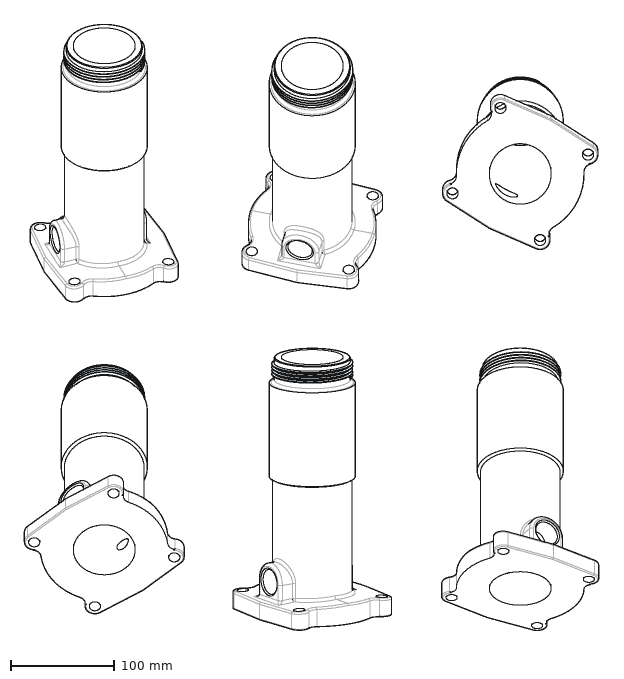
import cadquery as cq
import math

TOTAL_HEIGHT = 254.0
BORE_RADIUS = 30.0

FLANGE_RADIUS = 61.91
FLANGE_APEX_Y = 62.055
RIDGE_HEIGHT = 20.6
EAVES_HEIGHT = 17.65
BOLT_OFFSET = 48.4
BOLT_HOLE_RADIUS = 5.4
LOBE_RADIUS = 9.7
WAIST_RADIUS = 8.0
FLANGE_TOP_ROUND = 1.9
FLANGE_BOTTOM_ROUND = 1.2
SQUARE_RIM_Y = 41.2

TUBE_RADIUS = 38.75
SLEEVE_RADIUS = 41.8
SLEEVE_BOTTOM = 135.0
SLEEVE_TOP = 228.6
SLEEVE_CHAMFER_HEIGHT = 1.5
BLEND_RADIUS = 3.0

NECK_RADIUS = 36.9
NECK_CHAMFER = 0.8
THREAD_RADIUS = 39.3
THREAD_PITCH = 3.25
THREAD_TURNS = 4.125
THREAD_START = 235.7
THREAD_START_ANGLE = 45.0
TOOTH_BASE = 2.6
TOOTH_CREST = 0.7
TOOTH_OVERLAP = 0.5

PORT_HEIGHT = 36.5
PORT_FACE_Y = -50.8
PORT_BOSS_RADIUS = 18.5
PORT_EDGE_ROUND = 3.0
PORT_RADIUS = 12.2
PORT_CHAMFER = 1.5

OUTLET_HEIGHT = 41.3
OUTLET_START_Y = 28.0
OUTLET_INNER_RADIUS = 7.2
OUTLET_OUTER_RADIUS = 5.5
PAD_FACE_Y = 40.0
PAD_RADIUS = 10.3

TOLERANCE = 0.1


def point_on_circle(center, radius, angle):
    return (center[0] + radius * math.cos(angle), center[1] + radius * math.sin(angle))


def flange_quarter():
    """Plan of the +X +Y quarter of the flange, extruded to the ridge height."""
    origin = (0, 0)
    lobe = (BOLT_OFFSET, BOLT_OFFSET)

    lobe_distance = math.hypot(*lobe)
    waist_distance = FLANGE_RADIUS + WAIST_RADIUS
    waist_to_lobe = LOBE_RADIUS + WAIST_RADIUS
    cos_gap = (lobe_distance**2 + waist_distance**2 - waist_to_lobe**2) / (2 * lobe_distance * waist_distance)
    waist_angle = math.pi / 4 - math.acos(cos_gap)
    waist = point_on_circle(origin, waist_distance, waist_angle)
    lobe_start_angle = math.atan2(waist[1] - lobe[1], waist[0] - lobe[0])

    apex_rise = FLANGE_APEX_Y - BOLT_OFFSET
    apex_direction = math.atan2(apex_rise, -BOLT_OFFSET)
    lobe_end_angle = apex_direction - math.acos(LOBE_RADIUS / math.hypot(BOLT_OFFSET, apex_rise))

    side_middle = point_on_circle(origin, FLANGE_RADIUS, waist_angle / 2)
    side_end = point_on_circle(origin, FLANGE_RADIUS, waist_angle)
    waist_middle = point_on_circle(waist, WAIST_RADIUS, (waist_angle + lobe_start_angle) / 2 + math.pi)
    lobe_start = point_on_circle(lobe, LOBE_RADIUS, lobe_start_angle)
    lobe_middle = point_on_circle(lobe, LOBE_RADIUS, (lobe_start_angle + lobe_end_angle) / 2)
    lobe_end = point_on_circle(lobe, LOBE_RADIUS, lobe_end_angle)
    return (
        cq.Workplane("XY")
        .lineTo(FLANGE_RADIUS, 0)
        .threePointArc(side_middle, side_end)
        .threePointArc(waist_middle, lobe_start)
        .threePointArc(lobe_middle, lobe_end)
        .lineTo(0, FLANGE_APEX_Y)
        .close()
        .extrude(RIDGE_HEIGHT)
    )


def make_flange():
    """Flange plate under its shallow roof, still with sharp rims."""
    quarter = flange_quarter()
    half = quarter.union(quarter.mirror("YZ"))
    plate = half.union(half.mirror("XZ")).clean()
    roof = (
        cq.Workplane("YZ")
        .polyline([
            (-FLANGE_APEX_Y, 0),
            (FLANGE_APEX_Y, 0),
            (FLANGE_APEX_Y, EAVES_HEIGHT),
            (0, RIDGE_HEIGHT),
            (-FLANGE_APEX_Y, EAVES_HEIGHT),
        ])
        .close()
        .extrude(FLANGE_RADIUS, both=True)
    )
    return plate.intersect(roof)


def round_flange(flange):
    """Round the whole top rim, and the bottom rim of the pointed sides and lobes."""
    def on_top_rim(edge):
        center = edge.Center()
        return center.z > EAVES_HEIGHT - TOLERANCE and math.hypot(center.x, center.y) > TUBE_RADIUS

    top_rim = [edge for edge in flange.edges("not |Z").vals() if on_top_rim(edge)]
    flange = flange.newObject(top_rim).fillet(FLANGE_TOP_ROUND)
    middle_block = cq.Workplane("XY").box(
        2 * FLANGE_RADIUS, 2 * SQUARE_RIM_Y, RIDGE_HEIGHT, centered=(True, True, False)
    )
    square_middle = flange.intersect(middle_block)
    return flange.edges("<Z").fillet(FLANGE_BOTTOM_ROUND).union(square_middle)


def arched_block(face_y, depth, radius, height):
    """Arched block rising out of the flange, from y = face_y back along -Y by depth."""
    return (
        cq.Workplane("XZ", origin=(0, face_y, 0))
        .moveTo(-radius, RIDGE_HEIGHT / 2)
        .lineTo(radius, RIDGE_HEIGHT / 2)
        .lineTo(radius, height)
        .threePointArc((0, height + radius), (-radius, height))
        .close()
        .extrude(depth)
    )


def inside_corner_edges(body):
    """Foot of the tube, port boss and pad on the flange, and the boss outline on the tube."""
    reach = math.hypot(PORT_FACE_Y, PORT_BOSS_RADIUS)
    boss_top = PORT_HEIGHT + PORT_BOSS_RADIUS

    def is_inside_corner(edge):
        center = edge.Center()
        if edge.geomType() == "CIRCLE" or math.hypot(center.x, center.y) > reach:
            return False
        box = edge.BoundingBox()
        on_flange = (
            box.zmin > EAVES_HEIGHT
            and box.zmax < RIDGE_HEIGHT + TOLERANCE
            and abs(center.x) < SLEEVE_RADIUS
        )
        on_tube = -TUBE_RADIUS - TOLERANCE < box.ymin and box.ymax < 0 and box.zmax < boss_top + TOLERANCE
        return on_flange or on_tube

    return [edge for edge in body.edges().vals() if is_inside_corner(edge)]


def port_face_edges(body):
    """Arch and upright edges around the front face of the port boss."""
    def on_port_face(edge):
        box = edge.BoundingBox()
        return abs(box.ymin - PORT_FACE_Y) < TOLERANCE and abs(box.ymax - PORT_FACE_Y) < TOLERANCE

    level_foot = RIDGE_HEIGHT + BLEND_RADIUS + TOLERANCE
    return [edge for edge in body.edges().vals() if on_port_face(edge) and edge.Center().z > level_foot]


def make_lower_body():
    """Flange, tube, port boss and pad, with their rounds."""
    tube = cq.Workplane("XY").circle(TUBE_RADIUS).extrude(SLEEVE_BOTTOM)
    port_boss = arched_block(0, -PORT_FACE_Y, PORT_BOSS_RADIUS, PORT_HEIGHT)
    pad = arched_block(PAD_FACE_Y, PAD_FACE_Y, PAD_RADIUS, OUTLET_HEIGHT)
    body = round_flange(make_flange()).union(tube).union(port_boss).union(pad)
    body = body.newObject(inside_corner_edges(body)).fillet(BLEND_RADIUS)
    return body.newObject(port_face_edges(body)).fillet(PORT_EDGE_ROUND)


def make_sleeve_and_neck():
    """Turned upper part: sleeve, blended step and the plain neck under the thread."""
    blend_center = (NECK_RADIUS + BLEND_RADIUS, SLEEVE_TOP + BLEND_RADIUS)
    blend_middle = point_on_circle(blend_center, BLEND_RADIUS, math.radians(225))
    return (
        cq.Workplane("XZ")
        .moveTo(0, SLEEVE_BOTTOM - SLEEVE_CHAMFER_HEIGHT)
        .lineTo(TUBE_RADIUS, SLEEVE_BOTTOM - SLEEVE_CHAMFER_HEIGHT)
        .lineTo(SLEEVE_RADIUS, SLEEVE_BOTTOM)
        .lineTo(SLEEVE_RADIUS, SLEEVE_TOP)
        .lineTo(blend_center[0], SLEEVE_TOP)
        .threePointArc(blend_middle, (NECK_RADIUS, blend_center[1]))
        .lineTo(NECK_RADIUS, TOTAL_HEIGHT - NECK_CHAMFER)
        .lineTo(NECK_RADIUS - NECK_CHAMFER, TOTAL_HEIGHT)
        .lineTo(0, TOTAL_HEIGHT)
        .close()
        .revolve(360, (0, 0, 0), (0, 1, 0))
    )


def make_thread():
    """Right-handed helical tooth, its root sunk slightly into the neck."""
    root = NECK_RADIUS - TOOTH_OVERLAP
    path = cq.Wire.makeHelix(THREAD_PITCH, THREAD_PITCH * THREAD_TURNS, root)
    tooth = (
        cq.Workplane("XZ")
        .polyline([
            (root, -TOOTH_BASE / 2),
            (THREAD_RADIUS, -TOOTH_CREST / 2),
            (THREAD_RADIUS, TOOTH_CREST / 2),
            (root, TOOTH_BASE / 2),
        ])
        .close()
    )
    thread = tooth.sweep(cq.Workplane(path), isFrenet=True)
    return thread.rotate((0, 0, 0), (0, 0, 1), THREAD_START_ANGLE).translate((0, 0, THREAD_START))


def cone_along_y(start_y, height, start_radius, end_radius, length):
    """Cone with its axis along +Y, starting at y = start_y."""
    start = cq.Vector(0, start_y, height)
    return cq.Workplane(cq.Solid.makeCone(start_radius, end_radius, length, start, cq.Vector(0, 1, 0)))


def cut_openings(body):
    """Cut the main bore, side port, tapered outlet and bolt holes."""
    bore = cq.Workplane("XY").circle(BORE_RADIUS).extrude(TOTAL_HEIGHT)
    port = cq.Workplane("XZ", origin=(0, 0, PORT_HEIGHT)).circle(PORT_RADIUS).extrude(-PORT_FACE_Y)
    port_mouth = cone_along_y(
        PORT_FACE_Y, PORT_HEIGHT, PORT_RADIUS + PORT_CHAMFER, PORT_RADIUS, PORT_CHAMFER
    )
    outlet = cone_along_y(
        OUTLET_START_Y, OUTLET_HEIGHT, OUTLET_INNER_RADIUS, OUTLET_OUTER_RADIUS, PAD_FACE_Y - OUTLET_START_Y
    )
    bolt_holes = (
        cq.Workplane("XY")
        .rect(2 * BOLT_OFFSET, 2 * BOLT_OFFSET, forConstruction=True)
        .vertices()
        .circle(BOLT_HOLE_RADIUS)
        .extrude(RIDGE_HEIGHT)
    )
    return body.cut(bore).cut(port).cut(port_mouth).cut(outlet).cut(bolt_holes)


outside = make_lower_body().union(make_sleeve_and_neck()).union(make_thread())
result = cut_openings(outside)